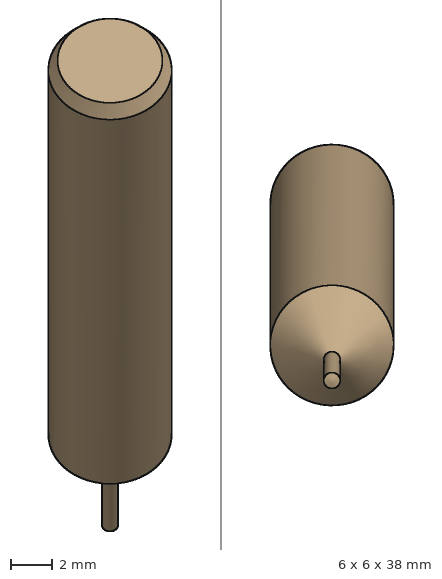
import cadquery as cq

total_length = 38.0
shank_diameter = 6.0

tip_diameter = 0.8
tip_length = 4.5
point_height = 0.08

cone_height = 3.0
chamfer_height = 0.75
chamfer_width = 0.45

cone_bottom = tip_length
cone_top = cone_bottom + cone_height
chamfer_bottom = total_length - chamfer_height

shank_radius = shank_diameter / 2
tip_radius = tip_diameter / 2


def revolve_about_z(half_profile):
    """Turn a closed outline of (radius, height) points about the Z axis."""
    return cq.Workplane("XZ").polyline(half_profile).close().revolve(360, (0, 0, 0), (0, 1, 0))


def make_shank():
    """Round shank with a chamfered top and a cone narrowing to the tip."""
    return revolve_about_z([
        (0, cone_bottom),
        (tip_radius, cone_bottom),
        (shank_radius, cone_top),
        (shank_radius, chamfer_bottom),
        (shank_radius - chamfer_width, total_length),
        (0, total_length),
    ])


def make_tip():
    """Slender round tip with a very shallow point, meeting the small end of the cone."""
    return revolve_about_z([
        (0, 0),
        (tip_radius, point_height),
        (tip_radius, tip_length),
        (0, tip_length),
    ])


shank = make_shank()
tip = make_tip()

result = cq.Compound.makeCompound([shank.val(), tip.val()])